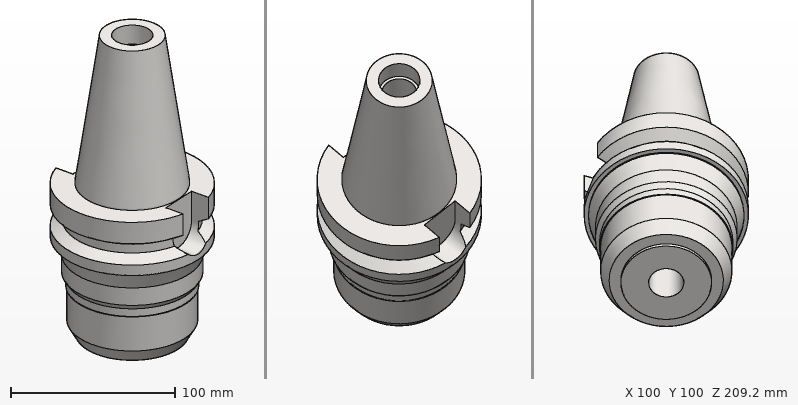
import cadquery as cq

total_height = 209.2
nose_top = 2.3
nut_chamfer_top = 11.7
nut_top = 35.8
collar_top = 41.5
neck_bottom = 45.2
neck_top = 57.3
relief_bottom = 68.6
flange_bottom = 69.7
groove_lower_edge = 77.0
groove_floor_bottom = 81.4
groove_floor_top = 87.5
groove_upper_edge = 91.8
flange_top = 106.7
taper_bottom = 107.5

nose_radius = 27.6
nut_end_radius = 34.7
nut_radius = 40.0
collar_radius = 40.5
neck_radius = 43.0
relief_radius = 47.3
flange_radius = 50.0
groove_radius = 42.7
taper_large_radius = 35.0
taper_small_radius = 20.0

bore_radius = 10.7
counterbore_radius = 12.5
counterbore_depth = 13.2

slot_width = 26.0
slot_floor_x = 35.4
slot_bottom = 73.6


def turned_body():
    """Revolve the half profile of nose, nut, neck, grooved flange and taper about Z."""
    profile = [
        (0, 0),
        (nose_radius, 0),
        (nose_radius, nose_top),
        (nut_end_radius, nose_top),
        (nut_radius, nut_chamfer_top),
        (nut_radius, nut_top),
        (collar_radius, nut_top),
        (collar_radius, collar_top),
        (neck_radius, neck_bottom),
        (neck_radius, neck_top),
        (relief_radius, relief_bottom),
        (relief_radius, flange_bottom),
        (flange_radius, flange_bottom),
        (flange_radius, groove_lower_edge),
        (groove_radius, groove_floor_bottom),
        (groove_radius, groove_floor_top),
        (flange_radius, groove_upper_edge),
        (flange_radius, flange_top),
        (taper_large_radius, flange_top),
        (taper_large_radius, taper_bottom),
        (taper_small_radius, total_height),
        (0, total_height),
    ]
    return cq.Workplane("XZ").polyline(profile).close().revolve(360, (0, 0, 0), (0, 1, 0))


def stepped_bore():
    """Through bore with a counterbore at the small end of the taper."""
    bore = cq.Workplane("XY").circle(bore_radius).extrude(total_height)
    counterbore = (
        cq.Workplane("XY")
        .workplane(offset=total_height - counterbore_depth)
        .circle(counterbore_radius)
        .extrude(counterbore_depth)
    )
    return bore.union(counterbore)


def drive_slot(side):
    """Round-bottomed slot, open at the flange top; side is +1 for +X and -1 for -X."""
    half_width = slot_width / 2
    arc_center_z = slot_bottom + half_width
    return (
        cq.Workplane("YZ")
        .workplane(offset=side * slot_floor_x)
        .moveTo(-half_width, flange_top)
        .lineTo(-half_width, arc_center_z)
        .threePointArc((0, slot_bottom), (half_width, arc_center_z))
        .lineTo(half_width, flange_top)
        .close()
        .extrude(side * (flange_radius - slot_floor_x))
    )


result = turned_body().cut(stepped_bore())
for side in (1, -1):
    result = result.cut(drive_slot(side))